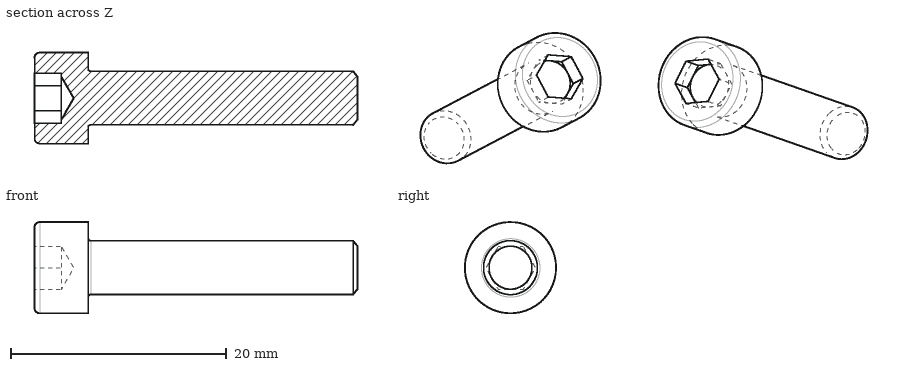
import cadquery as cq
import math

total_length = 30.0
head_diameter = 8.5
shank_diameter = 5.0
head_height = shank_diameter
head_edge_radius = 0.5
neck_fillet_radius = 0.2
tip_chamfer_length = 0.42
tip_chamfer_depth = 0.5

socket_across_flats = 4.0
socket_depth = 2.5
drill_point_angle = 120.0


def make_body():
    """Revolve the head and shank, including the rounded and beveled edges."""
    head_radius = head_diameter / 2
    shank_radius = shank_diameter / 2
    arc_offset = 1 - math.sqrt(0.5)
    head_round = head_edge_radius * arc_offset
    neck_round = neck_fillet_radius * arc_offset
    profile = (
        cq.Workplane("XY")
        .lineTo(0, head_radius - head_edge_radius)
        .threePointArc((head_round, head_radius - head_round), (head_edge_radius, head_radius))
        .lineTo(head_height, head_radius)
        .lineTo(head_height, shank_radius + neck_fillet_radius)
        .threePointArc(
            (head_height + neck_round, shank_radius + neck_round),
            (head_height + neck_fillet_radius, shank_radius),
        )
        .lineTo(total_length - tip_chamfer_length, shank_radius)
        .lineTo(total_length, shank_radius - tip_chamfer_depth)
        .lineTo(total_length, 0)
        .close()
    )
    return profile.revolve(360, (0, 0, 0), (1, 0, 0))


def make_socket():
    """Hexagonal prism with corners along Y, ending in a cone inside the flats."""
    across_corners = socket_across_flats / math.cos(math.radians(30))
    hexagon = cq.Workplane("YZ").polygon(6, across_corners).extrude(socket_depth)

    cone_radius = socket_across_flats / 2
    cone_depth = cone_radius / math.tan(math.radians(drill_point_angle / 2))
    cone = (
        cq.Workplane("XY")
        .moveTo(socket_depth, 0)
        .lineTo(socket_depth, cone_radius)
        .lineTo(socket_depth + cone_depth, 0)
        .close()
        .revolve(360, (0, 0, 0), (1, 0, 0))
    )
    return hexagon.union(cone)


result = make_body().cut(make_socket())